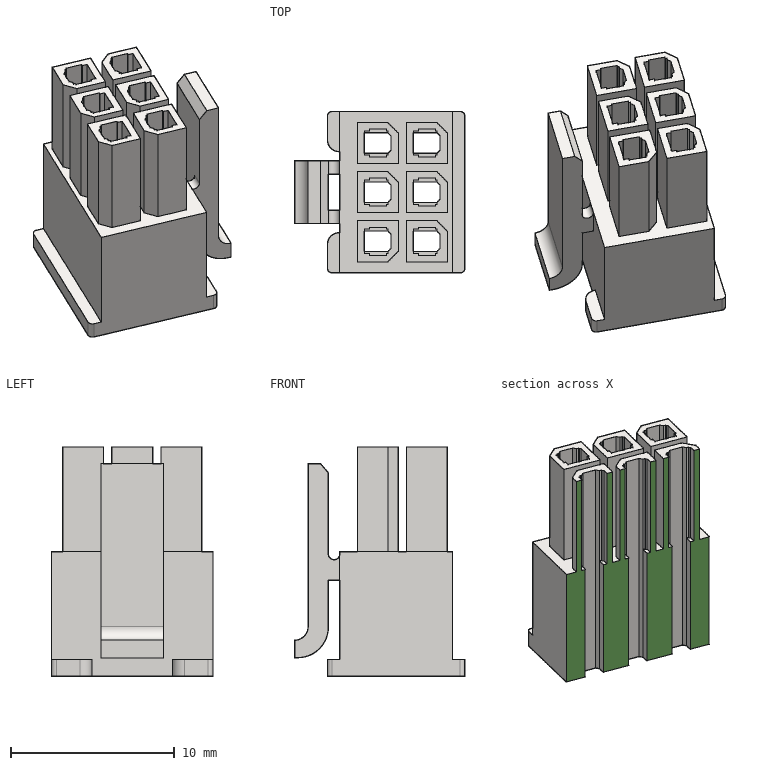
import cadquery as cq
import math

TOTAL_HEIGHT = 14.0
BODY_LENGTH = 6.89
BODY_WIDTH = 9.85
BODY_HEIGHT = 7.62

FLANGE_LENGTH = 8.4
FLANGE_HEIGHT = 1.04
FLANGE_CORNER_RADIUS = 0.3
LUG_GAP = BODY_WIDTH / 2
LUG_INNER_RADIUS = 0.73

PITCH = 3.0
ROWS = 3
TOWER_SIDE = 2.5
TOWER_CHAMFER = 0.65
FIRST_COLUMN_X = -1.12
COLUMN_XS = [FIRST_COLUMN_X, FIRST_COLUMN_X + PITCH]
ROW_YS = [(row - (ROWS - 1) / 2) * PITCH for row in range(ROWS)]

CAVITY_LEFT = -0.83
CAVITY_RIGHT = 0.8
CORE_HALF_WIDTH = 0.62
CORE_CHAMFER = 0.18
SOCKET_RIGHT = CAVITY_RIGHT - CORE_CHAMFER
SOCKET_HALF_WIDTH = 0.74
GROOVE_HALF_LENGTH = 0.52
GROOVE_HALF_WIDTH = 0.85
SOCKET_DEPTH = TOTAL_HEIGHT - BODY_HEIGHT

LATCH_WIDTH = 3.84
LATCH_TIP_X = -6.2
LATCH_OUTER_X = -5.38
LATCH_INNER_X = -4.13
LATCH_TOP = 12.98
LATCH_BOTTOM = 1.13
LATCH_TIP_TOP = 2.21
HOOK_CHAMFER_LENGTH = 0.48
HOOK_CHAMFER_HEIGHT = 0.56
BEND_INNER_RADIUS = LATCH_OUTER_X - LATCH_TIP_X
BEND_OUTER_RADIUS = 1.88

BRIDGE_WIDTH = 0.83
BRIDGE_BOTTOM = 5.85
BRIDGE_TOP = 7.13

OVERLAP = 0.14
DIAGONAL = math.sqrt(0.5)


def block(x_min, x_max, y_min, y_max, z_min, z_max):
    size = (x_max - x_min, y_max - y_min, z_max - z_min)
    return cq.Workplane("XY").box(*size, centered=False).translate((x_min, y_min, z_min))


def make_body():
    return cq.Workplane("XY").box(BODY_LENGTH, BODY_WIDTH, BODY_HEIGHT, centered=(True, True, False))


def make_flange():
    flange = (
        cq.Workplane("XY")
        .box(FLANGE_LENGTH, BODY_WIDTH, FLANGE_HEIGHT, centered=(True, True, False))
        .edges("|Z")
        .fillet(FLANGE_CORNER_RADIUS)
    )
    gap = block(
        -FLANGE_LENGTH / 2, -BODY_LENGTH / 2,
        -LUG_GAP / 2, LUG_GAP / 2,
        0, FLANGE_HEIGHT,
    )
    lug_inner_edges = cq.selectors.BoxSelector(
        (-FLANGE_LENGTH / 2 - OVERLAP, -LUG_GAP / 2 - OVERLAP, 0),
        (-FLANGE_LENGTH / 2 + OVERLAP, LUG_GAP / 2 + OVERLAP, FLANGE_HEIGHT),
    )
    return flange.cut(gap).edges("|Z").edges(lug_inner_edges).fillet(LUG_INNER_RADIUS)


def make_tower(x, y, chamfer_side):
    """Square tower with its +X corner chamfered on the +Y (1) or -Y (-1) side."""
    chamfered_edge = ">Y" if chamfer_side > 0 else "<Y"
    return (
        cq.Workplane("XY")
        .box(TOWER_SIDE, TOWER_SIDE, TOTAL_HEIGHT - BODY_HEIGHT + OVERLAP, centered=(True, True, False))
        .edges("|Z and >X")
        .edges(chamfered_edge)
        .chamfer(TOWER_CHAMFER)
        .translate((x, y, BODY_HEIGHT - OVERLAP))
    )


def make_cavity(x, y):
    """Through core with a wider, stepped socket running down the tower."""
    core = (
        block(CAVITY_LEFT, CAVITY_RIGHT, -CORE_HALF_WIDTH, CORE_HALF_WIDTH, 0, TOTAL_HEIGHT)
        .edges("|Z and >X")
        .chamfer(CORE_CHAMFER)
    )
    floor = TOTAL_HEIGHT - SOCKET_DEPTH
    socket = block(
        CAVITY_LEFT, SOCKET_RIGHT,
        -SOCKET_HALF_WIDTH, SOCKET_HALF_WIDTH,
        floor, TOTAL_HEIGHT,
    )
    grooves = block(
        -GROOVE_HALF_LENGTH, GROOVE_HALF_LENGTH,
        -GROOVE_HALF_WIDTH, GROOVE_HALF_WIDTH,
        floor, TOTAL_HEIGHT,
    )
    return core.union(socket).union(grooves).translate((x, y, 0))


def make_latch():
    bend_end_x = LATCH_INNER_X - BEND_OUTER_RADIUS
    bend_end_z = LATCH_BOTTOM + BEND_OUTER_RADIUS
    bend_middle = (
        bend_end_x + BEND_OUTER_RADIUS * DIAGONAL,
        bend_end_z - BEND_OUTER_RADIUS * DIAGONAL,
    )
    inner_bend_z = LATCH_TIP_TOP + BEND_INNER_RADIUS
    inner_bend_middle = (
        LATCH_TIP_X + BEND_INNER_RADIUS * DIAGONAL,
        inner_bend_z - BEND_INNER_RADIUS * DIAGONAL,
    )
    return (
        cq.Workplane("XZ")
        .moveTo(LATCH_OUTER_X, LATCH_TOP)
        .lineTo(LATCH_INNER_X - HOOK_CHAMFER_LENGTH, LATCH_TOP)
        .lineTo(LATCH_INNER_X, LATCH_TOP - HOOK_CHAMFER_HEIGHT)
        .lineTo(LATCH_INNER_X, bend_end_z)
        .threePointArc(bend_middle, (bend_end_x, LATCH_BOTTOM))
        .lineTo(LATCH_TIP_X, LATCH_BOTTOM)
        .lineTo(LATCH_TIP_X, LATCH_TIP_TOP)
        .threePointArc(inner_bend_middle, (LATCH_OUTER_X, inner_bend_z))
        .close()
        .extrude(LATCH_WIDTH / 2, both=True)
    )


def make_bridge(y_min):
    """Bridge from latch to body, its top hollowed by a half-round valley."""
    body_side_x = -BODY_LENGTH / 2
    valley_radius = (body_side_x - LATCH_INNER_X) / 2
    valley_z = BRIDGE_TOP + valley_radius
    valley = (
        cq.Workplane("XZ", origin=(0, y_min, 0))
        .center((body_side_x + LATCH_INNER_X) / 2, valley_z)
        .circle(valley_radius)
        .extrude(-BRIDGE_WIDTH)
    )
    bridge = block(
        LATCH_INNER_X - OVERLAP, body_side_x + OVERLAP,
        y_min, y_min + BRIDGE_WIDTH,
        BRIDGE_BOTTOM, valley_z,
    )
    return bridge.cut(valley)


result = make_body().union(make_flange()).union(make_latch())

for bridge_y in (-LATCH_WIDTH / 2, LATCH_WIDTH / 2 - BRIDGE_WIDTH):
    result = result.union(make_bridge(bridge_y))

for tower_x in COLUMN_XS:
    for tower_y in ROW_YS:
        is_key = tower_x == COLUMN_XS[0] and tower_y == ROW_YS[0]
        result = result.union(make_tower(tower_x, tower_y, -1 if is_key else 1))

for tower_x in COLUMN_XS:
    for tower_y in ROW_YS:
        result = result.cut(make_cavity(tower_x, tower_y))